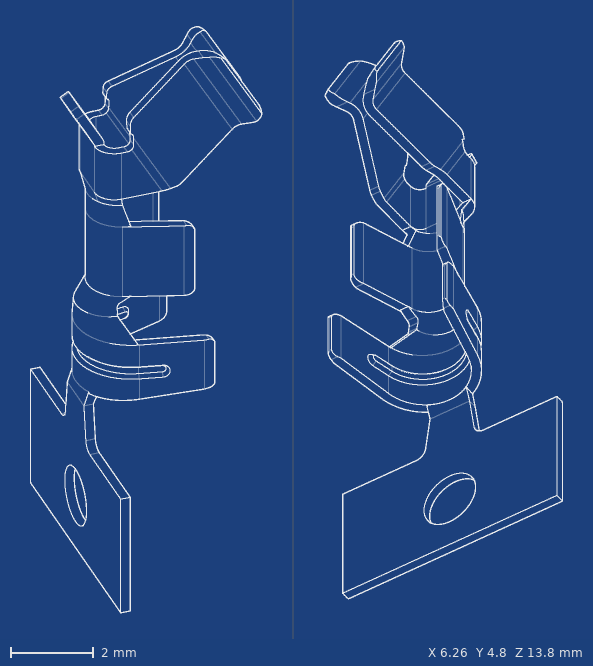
import cadquery as cq
import math


sheet = 0.25
span = 8.27

carrier_width = 6.26
carrier_height = 3.27
pilot_diameter = 1.5
pilot_height = 1.5
web_foot_half = 0.75
web_head_half = 0.58
web_head_z = 4.43
web_fillet = 0.28

insulation_radius = 1.43
insulation_angle = 12.5
insulation_tip_y = 2.96
insulation_bottom_front = 4.75
insulation_bottom_rear = 5.03
insulation_top = 6.41
insulation_corner = 0.17

bead_z = 5.61
bead_mouth = 0.35
bead_floor = 0.18
bead_depth = 0.11
bead_end_y = 1.88

wire_radius = 0.88
wire_angle = 18.5
wire_front = 0.3
wire_tip_y = 2.6
wire_bottom = 7.52
wire_top = 9.52
wire_corner = 0.22

tip_bevel_length = 0.26
tip_bevel_depth = 0.07

lower_neck_z = 7.0
upper_neck_z = 10.11
upper_neck_radius = 0.83
upper_neck_axis = wire_front + upper_neck_radius
neck_edge_radius = 0.17
neck_wing_y = 1.1
waist_y = 0.76
waist_top = 7.31
neck_box_y = 0.81

box_half = 1.0
box_flat_half = 0.5
box_corner = box_half - box_flat_half
box_side_y = wire_front + box_corner
box_bottom = 10.44
box_top = 11.76
box_wall_rear = 0.95

spring_tilt = 30.0
spring_foot_y = 1.96
spring_low = -0.19
spring_high = 2.29
contact_reach = 2.33
tip_reach = 3.0
contact_x = 0.15
flare_angle = 40.0
foot_bend_radius = 0.55
contact_bend_radius = 0.4
spring_bevel_length = 0.22
spring_tip_corner = 0.41
spring_foot_corner = 0.28
spring_front_y = 1.06
relief_y = 1.13
relief_low = 12.18
relief_high = 12.25
relief_radius = 0.17
spring_front_corner = 0.22

tab_tilt = 30.0
tab_bend_z = 11.83
tab_length = 1.16
tab_bend_radius = 0.14
tab_corner = 0.17


def trim(points):
    """Prism through the whole width with the given side outline."""
    return cq.Workplane("YZ").polyline(points).close().extrude(span / 2, both=True)


def round_corner(prism, corner, radius):
    """Fillet the edge of a trimming prism that passes through a (y, z) corner."""
    y, z = corner
    near = cq.selectors.BoxSelector((-0.14, y - 0.01, z - 0.01), (0.14, y + 0.01, z + 0.01))
    return prism.edges("|X").edges(near).fillet(radius)


def wing_points(radius, angle, front, depth):
    """Tangent point on the right-hand wing at a depth below its outer face, and the wing directions."""
    lean = math.radians(angle)
    along = cq.Vector(math.sin(lean), math.cos(lean))
    inward = cq.Vector(-math.cos(lean), math.sin(lean))
    tangent = cq.Vector(0, front + radius) - inward * (radius - depth)
    return tangent, along, inward


def mirrored(point):
    return -point.x, point.y


def barrel(radius, angle, front, tip_y, bottom, top):
    """Open barrel: round front running tangentially into two leaning wings with bevelled tips."""
    outer, along, inward = wing_points(radius, angle, front, 0)
    inner = outer + inward * sheet
    length = (tip_y - outer.y - sheet / 2 * inward.y) / along.y
    shoulder = along * (length - tip_bevel_length)
    tip = along * length
    wing = [
        outer + shoulder,
        outer + tip + inward * tip_bevel_depth,
        inner + tip - inward * tip_bevel_depth,
        inner + shoulder,
        inner,
    ]
    section = cq.Workplane("XY", origin=(0, 0, bottom)).moveTo(outer.x, outer.y)
    for point in wing:
        section = section.lineTo(point.x, point.y)
    section = section.threePointArc((0, front + sheet), mirrored(inner))
    for point in reversed(wing[:-1]):
        section = section.lineTo(*mirrored(point))
    section = section.lineTo(*mirrored(outer))
    return section.threePointArc((0, front), (outer.x, outer.y)).close().extrude(top - bottom)


def bead(depth):
    """Tapered round-ended bar following the insulation barrel, its mouth at a depth below the outer face."""
    tangent, along, inward = wing_points(insulation_radius, insulation_angle, 0, depth)
    overlap = 0.01
    half_floor = bead_floor / 2
    half_mouth = bead_mouth / 2 + overlap * (bead_mouth - bead_floor) / 2 / bead_depth
    end = tangent + along * ((bead_end_y - half_mouth - tangent.y) / along.y)
    path = (
        cq.Workplane("XY", origin=(0, 0, bead_z))
        .moveTo(end.x, end.y)
        .lineTo(tangent.x, tangent.y)
        .threePointArc((0, depth), mirrored(tangent))
        .lineTo(*mirrored(end))
    )
    across = cq.Plane(origin=(end.x, end.y, bead_z), xDir=inward.toTuple(), normal=(along * -1).toTuple())
    profile = [
        (-overlap, -half_mouth),
        (bead_depth, -half_floor),
        (bead_depth, half_floor),
        (-overlap, half_mouth),
    ]
    bar = cq.Workplane(across).polyline(profile).close().sweep(path)
    mouth = end - inward * overlap + cq.Vector(0, 0, bead_z)
    cone = cq.Workplane(cq.Solid.makeCone(half_mouth, half_floor, bead_depth + overlap, mouth, inward))
    return bar.union(cone).union(cone.mirror("YZ"))


def round_neck(lower, upper):
    """Hollow round neck between two stations, each given as (z, front y, outer radius)."""
    def cone(wall):
        neck = cq.Workplane("XY")
        (z, front, radius), (end_z, end_front, end_radius) = lower, upper
        neck = neck.workplane(offset=z).center(0, front + radius).circle(radius - wall)
        shift = end_front + end_radius - front - radius
        neck = neck.workplane(offset=end_z - z).center(0, shift).circle(end_radius - wall)
        return neck.loft(ruled=True)
    return cone(0).cut(cone(sheet))


def box_loop(z, wall):
    """Rounded rectangle of the closed box at a wall depth below its outside."""
    rectangle = cq.Sketch().rect(2 * (box_half - wall), 2 * (upper_neck_radius - wall))
    rectangle = rectangle.vertices().fillet(box_corner - wall)
    return cq.Workplane("XY", origin=(0, upper_neck_axis, z)).placeSketch(rectangle)


def carrier():
    plate = cq.Workplane("XY").box(carrier_width, sheet, carrier_height, centered=(True, False, False))
    web = (
        cq.Workplane("XZ")
        .polyline([
            (-web_foot_half, carrier_height),
            (web_foot_half, carrier_height),
            (web_head_half, web_head_z),
            (-web_head_half, web_head_z),
        ])
        .close()
        .extrude(-sheet)
    )
    body = plate.union(web)
    root = cq.selectors.BoxSelector(
        (-web_foot_half - 0.14, -0.14, carrier_height - 0.14),
        (web_foot_half + 0.14, sheet + 0.14, carrier_height + 0.14),
    )
    body = body.edges("|Y").edges(root).fillet(web_fillet)
    pilot = cq.Workplane("XZ").center(0, pilot_height).circle(pilot_diameter / 2).extrude(-sheet)
    return body.cut(pilot)


def web_transition():
    """Ruled piece from the flat web to the curved front of the insulation barrel."""
    def arc_y(x, radius):
        return insulation_radius - math.sqrt(radius ** 2 - x ** 2)

    half = web_head_half
    overlap = 0.05
    outer_y = arc_y(half, insulation_radius)
    inner_y = arc_y(half, insulation_radius - sheet)
    flat = (
        cq.Workplane("XY", origin=(0, 0, web_head_z))
        .polyline([(-half, 0), (half, 0), (half, sheet), (-half, sheet)])
        .close()
    )
    curved = (
        cq.Workplane("XY", origin=(0, 0, insulation_bottom_front + overlap))
        .moveTo(-half, outer_y)
        .threePointArc((0, 0), (half, outer_y))
        .lineTo(half, inner_y)
        .threePointArc((0, sheet), (-half, inner_y))
        .close()
    )
    return cq.Workplane(cq.Solid.makeLoft([flat.val(), curved.val()], True))


def insulation_barrel():
    body = barrel(
        insulation_radius, insulation_angle, 0, insulation_tip_y, insulation_bottom_front, insulation_top
    )
    outline = trim([
        (0, insulation_bottom_front),
        (insulation_tip_y, insulation_bottom_rear),
        (insulation_tip_y, insulation_top),
        (0, insulation_top),
    ])
    outline = outline.edges("|X and >Y").fillet(insulation_corner)
    return body.intersect(outline).cut(bead(0)).union(bead(sheet))


def wire_barrel():
    body = barrel(wire_radius, wire_angle, wire_front, wire_tip_y, wire_bottom, wire_top)
    outline = trim([(0, wire_bottom), (wire_tip_y, wire_bottom), (wire_tip_y, wire_top), (0, wire_top)])
    return body.intersect(outline.edges("|X and >Y").fillet(wire_corner))


def lower_neck():
    waist = (lower_neck_z, 0, wire_radius)
    neck = round_neck((insulation_top, 0, insulation_radius), waist)
    neck = neck.union(round_neck(waist, (wire_bottom, wire_front, wire_radius)))
    waist_low = (waist_y, lower_neck_z)
    waist_high = (waist_y, waist_top)
    outline = trim([
        (-0.14, insulation_top),
        (neck_wing_y, insulation_top),
        waist_low,
        waist_high,
        (neck_wing_y, wire_bottom),
        (-0.14, wire_bottom),
    ])
    outline = round_corner(outline, waist_low, neck_edge_radius)
    outline = round_corner(outline, waist_high, neck_edge_radius)
    return neck.intersect(outline)


def upper_neck():
    def flare(wall):
        ring = cq.Wire.makeCircle(
            upper_neck_radius - wall, cq.Vector(0, upper_neck_axis, upper_neck_z), cq.Vector(0, 0, 1)
        )
        loop = box_loop(box_bottom, wall).extrude(0.14).faces("<Z").wires().val()
        return cq.Workplane(cq.Solid.makeLoft([ring, loop], True))

    neck = round_neck((wire_top, wire_front, wire_radius), (upper_neck_z, wire_front, upper_neck_radius))
    neck = neck.union(flare(0).cut(flare(sheet)))
    outline = trim([(0, wire_top), (neck_wing_y, wire_top), (neck_box_y, box_bottom), (0, box_bottom)])
    return neck.intersect(outline)


def spring_box():
    height = box_top - box_bottom
    tube = box_loop(box_bottom, 0).extrude(height).cut(box_loop(box_bottom, sheet).extrude(height))
    outline = trim([(0, box_bottom), (box_wall_rear, box_bottom), (box_wall_rear, box_top), (0, box_top)])
    return tube.intersect(outline)


def leaf(plane, points, bend_radii, bevel_length=0.0, bevel_depth=0.0):
    """Sheet-thick outline about a centre line with rounded bends; its end can be bevelled on both faces."""
    runs = [(b - a).normalized() for a, b in zip(points, points[1:])]
    normals = [cq.Vector(-run.y, run.x) for run in runs]
    half = sheet / 2

    stations = [(points[0], normals[0] * half, False)]
    for i, radius in enumerate(bend_radii):
        corner = points[i + 1]
        half_turn = runs[i].getAngle(runs[i + 1]) / 2
        setback = radius * math.tan(half_turn)
        sagitta = radius / math.cos(half_turn) - radius
        turn_in = (runs[i + 1] - runs[i]).normalized()
        across = (normals[i] + normals[i + 1]).normalized()
        stations.append((corner - runs[i] * setback, normals[i] * half, False))
        stations.append((corner + turn_in * sagitta, across * half, True))
        stations.append((corner + runs[i + 1] * setback, normals[i + 1] * half, False))
    if bevel_length > 0:
        stations.append((points[-1] - runs[-1] * bevel_length, normals[-1] * half, False))
    stations.append((points[-1], normals[-1] * (half - bevel_depth), False))

    loop = [(centre + offset, is_mid) for centre, offset, is_mid in stations]
    loop += [(centre - offset, is_mid) for centre, offset, is_mid in reversed(stations)]
    outline = cq.Workplane(plane).moveTo(loop[0][0].x, loop[0][0].y)
    arc_middle = None
    for point, is_mid in loop[1:]:
        if is_mid:
            arc_middle = (point.x, point.y)
        elif arc_middle:
            outline = outline.threePointArc(arc_middle, (point.x, point.y))
            arc_middle = None
        else:
            outline = outline.lineTo(point.x, point.y)
    return outline.close()


def springs():
    tilt = math.radians(spring_tilt)
    bend_plane = cq.Plane(
        origin=(0, spring_foot_y, box_bottom), xDir=(1, 0, 0), normal=(0, -math.sin(tilt), math.cos(tilt))
    )

    def side_point(reach, height):
        y = spring_foot_y + reach * math.cos(tilt) - height * math.sin(tilt)
        return y, box_bottom + reach * math.sin(tilt) + height * math.cos(tilt)

    wall_x = box_half - sheet / 2
    flare = (tip_reach - contact_reach) * math.tan(math.radians(flare_angle))
    centre_line = [
        cq.Vector(wall_x, -span / 2),
        cq.Vector(wall_x, 0),
        cq.Vector(contact_x, contact_reach),
        cq.Vector(contact_x + flare, tip_reach),
    ]
    bends = (foot_bend_radius, contact_bend_radius)
    section = leaf(bend_plane, centre_line, bends, spring_bevel_length, tip_bevel_depth)
    blade = section.extrude(span / 2, both=True)

    tip_slant = (sheet / 2 - tip_bevel_depth) * math.sin(math.radians(flare_angle))
    outline_reach = tip_reach + tip_slant
    low_foot = (spring_foot_y - spring_low / math.sin(tilt), box_bottom)
    low_tip = side_point(outline_reach, spring_low)
    high_tip = side_point(outline_reach, spring_high)
    front_rise = (spring_front_y - spring_foot_y) * math.sin(tilt)
    high_front = (spring_front_y, box_bottom + (spring_high + front_rise) / math.cos(tilt))
    relief_root = (relief_y, box_top)
    outline = trim([
        (box_side_y, box_bottom),
        low_foot,
        low_tip,
        high_tip,
        high_front,
        (spring_front_y, relief_high),
        (relief_y, relief_low),
        relief_root,
        (box_side_y, box_top),
    ])
    outline = round_corner(outline, low_foot, spring_foot_corner)
    outline = round_corner(outline, low_tip, spring_tip_corner)
    outline = round_corner(outline, high_tip, spring_tip_corner)
    outline = round_corner(outline, high_front, spring_front_corner)
    outline = round_corner(outline, relief_root, relief_radius)
    right = blade.intersect(outline)
    return right.union(right.mirror("YZ"))


def tab():
    """Tongue that continues the front of the box and leans forward above it."""
    tilt = math.radians(tab_tilt)
    middle_y = wire_front + sheet / 2
    centre_line = [
        cq.Vector(middle_y, box_bottom),
        cq.Vector(middle_y, tab_bend_z),
        cq.Vector(middle_y - tab_length * math.sin(tilt), tab_bend_z + tab_length * math.cos(tilt)),
    ]
    body = leaf("YZ", centre_line, (tab_bend_radius,)).extrude(box_flat_half, both=True)
    tip_edges = cq.selectors.ParallelDirSelector(cq.Vector(0, math.cos(tilt), math.sin(tilt)))
    return body.edges(tip_edges).fillet(tab_corner)


pieces = [
    web_transition(),
    insulation_barrel(),
    lower_neck(),
    wire_barrel(),
    upper_neck(),
    spring_box(),
    tab(),
    springs(),
]
result = carrier()
for piece in pieces:
    result = result.union(piece)